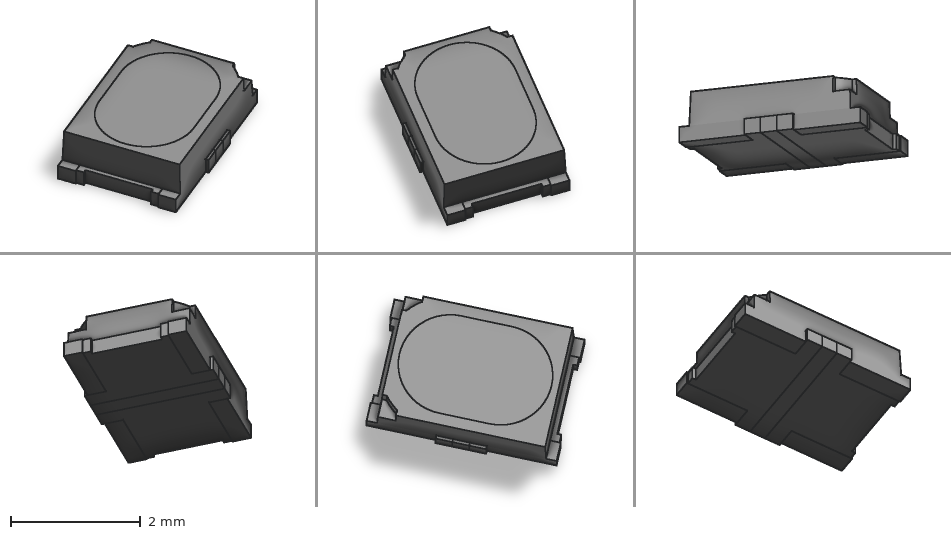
import cadquery as cq

total_length = 3.0
total_height = 0.8
tab_span = 2.1

base_height = 0.25
housing_width = 2.0
wall_length = 2.67
draft_angle = 2.0
foot_width = 0.3

lens_width = 1.602
lens_length = 2.4
lens_radius = lens_width / 2
lens_arc_center_y = lens_length / 2 - lens_radius

notch_depth = 0.25
notch_rim = 0.3
notch_radius = lens_radius + notch_rim
notch_start_y = 1.04

lead_width = housing_width - 2 * foot_width
lead_ear_y = 1.48
lead_recess_y = 1.415
lead_recess_width = 1.14
tab_row_length = 0.8
spacer_length = tab_row_length / 3
tab_inner_y = spacer_length / 2
tab_outer_y = tab_row_length / 2


def make_lead():
    """T-shaped lead of the +Y end: two side tabs, a pad and two end ears."""
    half_outline = [
        (0, tab_inner_y),
        (tab_span / 2, tab_inner_y),
        (tab_span / 2, tab_outer_y),
        (lead_width / 2, tab_outer_y),
        (lead_width / 2, lead_ear_y),
        (lead_recess_width / 2, lead_ear_y),
        (lead_recess_width / 2, lead_recess_y),
        (0, lead_recess_y),
    ]
    return (
        cq.Workplane("XY")
        .polyline(half_outline)
        .mirrorY()
        .extrude(base_height)
    )


def make_spacer():
    """Bar that separates the two leads and ends in the middle side tabs."""
    return cq.Workplane("XY").box(
        tab_span, spacer_length, base_height, centered=(True, True, False)
    )


def make_lens():
    """Oblong lens standing on the leads and flush with the housing top."""
    return (
        cq.Workplane("XY", origin=(0, 0, base_height))
        .slot2D(lens_length, lens_width, angle=90)
        .extrude(total_height - base_height)
    )


def make_corner_notches():
    """Both +Y corner notches, bounded inside by an arc concentric with the lens end."""
    notch_floor = total_height - notch_depth
    notch_reach = total_length / 2 - notch_start_y
    center_block = (
        cq.Workplane("XY", origin=(0, 0, notch_floor))
        .rect(lead_width, total_length)
        .extrude(notch_depth)
    )
    lens_rim = (
        cq.Workplane("XY", origin=(0, lens_arc_center_y, notch_floor))
        .circle(notch_radius)
        .extrude(notch_depth)
    )
    return (
        cq.Workplane("XY", origin=(0, notch_start_y, notch_floor))
        .box(housing_width, notch_reach, notch_depth, centered=(True, False, False))
        .cut(center_block)
        .cut(lens_rim)
    )


def make_base():
    """Two side rails that end in the corner feet, with openings for the tabs."""
    rails = cq.Workplane("XY")
    for side in (-1, 1):
        rail_x = side * (housing_width - foot_width) / 2
        rails = rails.union(
            cq.Workplane("XY")
            .center(rail_x, 0)
            .rect(foot_width, total_length)
            .extrude(base_height)
        )
    tab_openings = cq.Workplane("XY").rect(tab_span, tab_row_length).extrude(base_height)
    return rails.cut(tab_openings)


def make_housing():
    """Drafted wall around the lens, standing on the rails of the base."""
    wall = (
        cq.Workplane("XY", origin=(0, 0, base_height))
        .rect(housing_width, wall_length)
        .extrude(total_height - base_height, taper=draft_angle)
        .cut(make_lens())
        .cut(make_corner_notches())
    )
    return wall.union(make_base()).solids()


housing = make_housing()
lens = make_lens()
spacer = make_spacer()
leads = [make_lead().rotate((0, 0, 0), (0, 0, 1), angle) for angle in (0, 180)]

result = cq.Compound.makeCompound(
    [housing.val(), lens.val(), spacer.val(), *[lead.val() for lead in leads]]
)